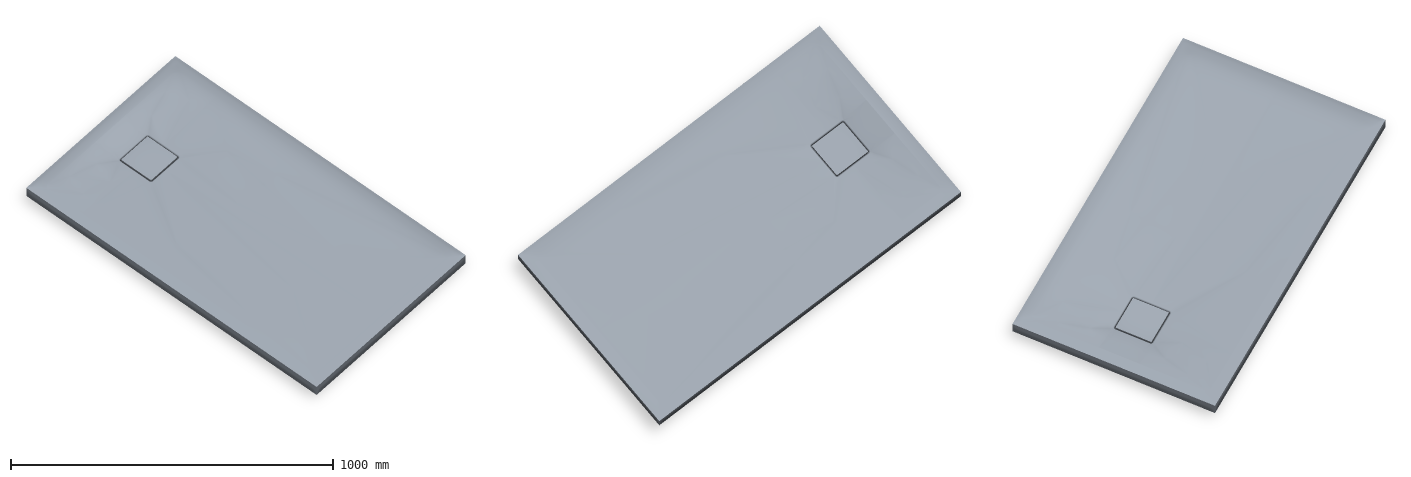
import cadquery as cq
import math

LENGTH = 1200.0
WIDTH = 700.0
HEIGHT = 40.0
RIM_WIDTH = 40.0
RIM_DROP = 1.0
RIM_CORNER_RADIUS = 15.0
FLOOR_DROP = 15.0

START_DEGREE = 2
MAX_DEGREE = 5

DRAIN_FROM_END = 200.0
DRAIN_SIDE = 142.0
LIP_RADIUS = 5.0
LIP_LAND = 0.2
RECESS_CORNER_RADIUS = 6.0
RECESS_DEPTH = 12.0
COVER_GAP = 4.0

DRAIN_X = DRAIN_FROM_END - LENGTH / 2
RIM_Z = HEIGHT - RIM_DROP
DRAIN_Z = RIM_Z - FLOOR_DROP
RECESS_Z = DRAIN_Z - RECESS_DEPTH
LIP_WIDTH = LIP_RADIUS + LIP_LAND
RECESS_SIDE = DRAIN_SIDE - 2 * LIP_WIDTH
COVER_SIDE = RECESS_SIDE - 2 * COVER_GAP
COVER_CORNER_RADIUS = RECESS_CORNER_RADIUS - COVER_GAP
DRAIN_CORNER_RADIUS = RECESS_CORNER_RADIUS + LIP_WIDTH

RIM_X = LENGTH / 2 - RIM_WIDTH
RIM_Y = WIDTH / 2 - RIM_WIDTH


def line(start, end):
    return cq.Edge.makeLine(cq.Vector(*start), cq.Vector(*end))


def polygon_face(points):
    vectors = [cq.Vector(*point) for point in points]
    return cq.Face.makeFromWires(cq.Wire.makePolygon(vectors, close=True))


def smooth_face(edges):
    """Smooth surface that spans a closed loop of edges."""
    return cq.Face.makeNSidedSurface(edges, [], degree=START_DEGREE, maxDeg=MAX_DEGREE)


def half_arc(centre, start, end):
    """Circular arc round the centre, shorter than a half turn, in a level plane."""
    first = cq.Vector(*start)
    last = cq.Vector(*end)
    radius = (first - centre).Length
    middle = centre + ((first + last) * 0.5 - centre).normalized() * radius
    return cq.Edge.makeThreePointArc(first, middle, last)


class RoundedCorner:
    """One quarter of a level rounded rectangle, from the long seam round to the cross seam."""

    def __init__(self, corner_x, corner_y, x_side, y_side, radius, z):
        inset = radius * (1 - math.sqrt(0.5))
        self.long_seam = (corner_x, 0, z)
        self.cross_seam = (DRAIN_X, corner_y, z)
        self.arc_start = (corner_x, corner_y - y_side * radius, z)
        self.arc_middle = (corner_x - x_side * inset, corner_y - y_side * inset, z)
        self.arc_end = (corner_x - x_side * radius, corner_y, z)
        centre = cq.Vector(corner_x - x_side * radius, corner_y - y_side * radius, z)
        self.long_half_arc = half_arc(centre, self.arc_start, self.arc_middle)
        self.cross_half_arc = half_arc(centre, self.arc_middle, self.arc_end)
        self.y_run = line(self.long_seam, self.arc_start)
        self.x_run = line(self.arc_end, self.cross_seam)

    def edges(self):
        return [self.y_run, self.long_half_arc, self.cross_half_arc, self.x_run]


def quarter_faces(x_side, y_side):
    """Rim and floor faces of the quarter of the top face on the given sides of the drain."""
    edge_x = x_side * LENGTH / 2
    edge_y = y_side * WIDTH / 2
    rim = RoundedCorner(x_side * RIM_X, y_side * RIM_Y, x_side, y_side, RIM_CORNER_RADIUS, RIM_Z)
    drain_x = DRAIN_X + x_side * DRAIN_SIDE / 2
    drain_y = y_side * DRAIN_SIDE / 2
    drain = RoundedCorner(drain_x, drain_y, x_side, y_side, DRAIN_CORNER_RADIUS, DRAIN_Z)

    outer_long_seam = (edge_x, 0, HEIGHT)
    outer_corner = (edge_x, edge_y, HEIGHT)
    outer_cross_seam = (DRAIN_X, edge_y, HEIGHT)
    rim_edges = [
        line(outer_long_seam, outer_corner),
        line(outer_corner, outer_cross_seam),
        line(outer_cross_seam, rim.cross_seam),
        *rim.edges(),
        line(rim.long_seam, outer_long_seam),
    ]
    rim_face = smooth_face(rim_edges)

    long_seam = line(rim.long_seam, drain.long_seam)
    cross_seam = line(rim.cross_seam, drain.cross_seam)
    if x_side > 0:
        floor_edges = [*rim.edges(), cross_seam, *drain.edges(), long_seam]
        return [rim_face, smooth_face(floor_edges)]

    strip_corner = (rim.long_seam[0], drain_y, RIM_Z)
    strip_side = line(strip_corner, drain.arc_middle)
    strip_edges = [
        line(rim.long_seam, strip_corner),
        strip_side,
        drain.long_half_arc,
        drain.y_run,
        long_seam,
    ]
    corner_edges = [
        line(strip_corner, rim.arc_start),
        rim.long_half_arc,
        rim.cross_half_arc,
        rim.x_run,
        cross_seam,
        drain.x_run,
        drain.cross_half_arc,
        strip_side,
    ]
    strip_face = smooth_face(strip_edges)
    return [rim_face, strip_face, smooth_face(corner_edges)]


def side_faces():
    """Outer walls and underside; each wall's top edge is split where a seam meets it."""
    x = LENGTH / 2
    y = WIDTH / 2
    faces = [polygon_face([(-x, -y, 0), (x, -y, 0), (x, y, 0), (-x, y, 0)])]
    for side in (-1, 1):
        end_x = side * x
        long_y = side * y
        end_outline = [
            (end_x, -y, 0),
            (end_x, y, 0),
            (end_x, y, HEIGHT),
            (end_x, 0, HEIGHT),
            (end_x, -y, HEIGHT),
        ]
        long_outline = [
            (-x, long_y, 0),
            (x, long_y, 0),
            (x, long_y, HEIGHT),
            (DRAIN_X, long_y, HEIGHT),
            (-x, long_y, HEIGHT),
        ]
        faces.append(polygon_face(end_outline))
        faces.append(polygon_face(long_outline))
    return faces


def drain_block(side, corner_radius):
    """Square block that stands on the bottom of the drain recess and reaches up to the lip."""
    block = cq.Workplane("XY", origin=(DRAIN_X, 0, RECESS_Z)).rect(side, side)
    return block.extrude(RECESS_DEPTH).edges("|Z").fillet(corner_radius)


def make_tray():
    """Slab closed from its faces, with the drain recess cut and its lip rounded."""
    top_faces = []
    for x_side in (-1, 1):
        for y_side in (-1, 1):
            top_faces += quarter_faces(x_side, y_side)
    drain_face = drain_block(DRAIN_SIDE, DRAIN_CORNER_RADIUS).faces(">Z").val()
    shell = cq.Shell.makeShell([*side_faces(), *top_faces, drain_face])
    slab = cq.Workplane(obj=cq.Solid.makeSolid(shell))
    tray = slab.cut(drain_block(RECESS_SIDE, RECESS_CORNER_RADIUS))

    reach = RECESS_SIDE / 2 + LIP_LAND
    lip_box = cq.selectors.BoxSelector(
        (DRAIN_X - reach, -reach, DRAIN_Z - LIP_LAND),
        (DRAIN_X + reach, reach, DRAIN_Z + LIP_LAND),
        boundingbox=True,
    )
    return tray.edges(lip_box).fillet(LIP_RADIUS).solids()


tray = make_tray()
cover = drain_block(COVER_SIDE, COVER_CORNER_RADIUS).solids()
result = cq.Compound.makeCompound([tray.val(), cover.val()])